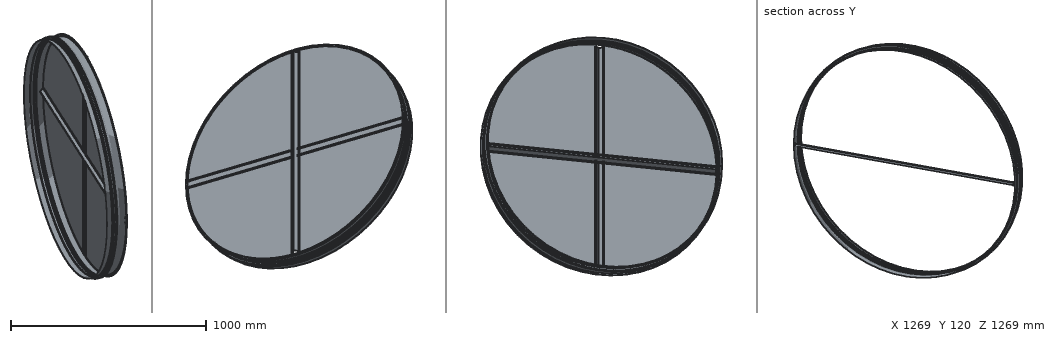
import cadquery as cq
import math

outer_diameter = 1269.0
overall_depth = 120.0
rear_y = overall_depth / 2
front_y = -overall_depth / 2

shell_sheet = 0.6
shell_radius = 1249.0 / 2
shell_bore_radius = shell_radius - shell_sheet
inner_bend_radius = 3.0
outer_bend_radius = inner_bend_radius + shell_sheet
groove_depth = inner_bend_radius + outer_bend_radius
groove_radius = shell_radius - groove_depth
groove_rear_y = 10.0
groove_front_y = -34.0
flange_radius = outer_diameter / 2
flange_rear_y = 46.0
flange_thickness = 1.9

gasket_radius = 1242.0 / 2
gasket_rear_radius = 1240.0 / 2
gasket_rear_y = -3.0
gasket_step_y = -6.0
gasket_front_y = groove_front_y + groove_depth
lip_radius = 1265.0 / 2
lip_thickness = 1.0
lip_rear_ys = (-9.0, -24.0)

plate_sheet = 1.9
plate_front_y = flange_rear_y - plate_sheet

v_half_width = 17.1
stiffener_half_width = 24.7
stiffener_sheet = 1.0
v_depth = rear_y - plate_front_y
vertical_half_length = 612.0
horizontal_half_length = 617.0


def revolve_about_y(outline):
    """Revolve a closed outline of (radius, y) points about the Y axis."""
    return cq.Workplane("XY").polyline(outline).close().revolve(360, (0, 0, 0), (0, 1, 0))


def make_drum(wall_radius, wall_bend, groove_bend):
    """Solid drum whose round groove sides are two quarter bends, convex then concave."""
    mid_radius = wall_radius - wall_bend
    bottom_radius = mid_radius - groove_bend
    front_mid_y = groove_front_y + wall_bend
    rear_mid_y = groove_rear_y - wall_bend
    outline = (
        cq.Workplane("XY")
        .moveTo(0, front_y)
        .lineTo(wall_radius, front_y)
        .lineTo(wall_radius, groove_front_y)
        .radiusArc((mid_radius, front_mid_y), -wall_bend)
        .radiusArc((bottom_radius, front_mid_y + groove_bend), groove_bend)
        .lineTo(bottom_radius, rear_mid_y - groove_bend)
        .radiusArc((mid_radius, rear_mid_y), groove_bend)
        .radiusArc((wall_radius, groove_rear_y), -wall_bend)
        .lineTo(wall_radius, flange_rear_y)
        .lineTo(0, flange_rear_y)
        .close()
    )
    return outline.revolve(360, (0, 0, 0), (0, 1, 0))


def make_shell():
    """Thin ring with a gasket groove and an outward flange at the rear."""
    flange = cq.Workplane("XZ", origin=(0, flange_rear_y, 0)).circle(flange_radius).extrude(flange_thickness)
    outside = make_drum(shell_radius, outer_bend_radius, inner_bend_radius)
    inside = make_drum(shell_bore_radius, inner_bend_radius, outer_bend_radius)
    return outside.union(flange).cut(inside)


def make_gasket():
    """Band in the shell groove with two thin sealing lips."""
    band = [
        (groove_radius, gasket_front_y),
        (gasket_radius, gasket_front_y),
        (gasket_radius, gasket_step_y),
        (gasket_rear_radius, gasket_rear_y),
        (groove_radius, gasket_rear_y),
    ]
    gasket = revolve_about_y(band)
    for lip_rear_y in lip_rear_ys:
        lip_front_y = lip_rear_y - lip_thickness
        lip = [
            (groove_radius, lip_front_y),
            (lip_radius, lip_front_y),
            (lip_radius, lip_rear_y),
            (groove_radius, lip_rear_y),
        ]
        gasket = gasket.union(revolve_about_y(lip))
    return gasket


def make_plate(side):
    """Disc segment filling the shell bore on one X side (-1 or 1) of the vertical V."""
    chord_half = math.sqrt(shell_bore_radius**2 - v_half_width**2)
    return (
        cq.Workplane("XZ", origin=(0, flange_rear_y, 0))
        .moveTo(side * v_half_width, -chord_half)
        .threePointArc((side * shell_bore_radius, 0), (side * v_half_width, chord_half))
        .close()
        .extrude(plate_sheet)
    )


def make_stiffener(half_length):
    """Bent strip along Z: two flanges in front of y = 0 and a V whose apex points to +Y."""
    slope_length = math.hypot(v_half_width, v_depth)
    inner_half_width = v_half_width - stiffener_sheet * (slope_length - v_half_width) / v_depth
    inner_apex_y = v_depth - stiffener_sheet * slope_length / v_half_width
    outline = [
        (-stiffener_half_width, 0),
        (-v_half_width, 0),
        (0, v_depth),
        (v_half_width, 0),
        (stiffener_half_width, 0),
        (stiffener_half_width, -stiffener_sheet),
        (inner_half_width, -stiffener_sheet),
        (0, inner_apex_y),
        (-inner_half_width, -stiffener_sheet),
        (-stiffener_half_width, -stiffener_sheet),
    ]
    return cq.Workplane("XY").polyline(outline).close().extrude(half_length, both=True)


def make_vertical_stiffener():
    """Stiffener along Z against the plates, its V standing out through the slot to the rear."""
    return make_stiffener(vertical_half_length).translate((0, plate_front_y, 0))


def make_horizontal_stiffener():
    """Stiffener along X lying across the vertical one, its V standing out to the front."""
    seat_y = plate_front_y - stiffener_sheet
    return (
        make_stiffener(horizontal_half_length)
        .rotate((0, 0, 0), (0, 0, 1), 180)
        .rotate((0, 0, 0), (0, 1, 0), 90)
        .translate((0, seat_y - stiffener_sheet, 0))
    )


shell = make_shell()
gasket = make_gasket()
plates = [make_plate(side).val() for side in (-1, 1)]
vertical_stiffener = make_vertical_stiffener()
horizontal_stiffener = make_horizontal_stiffener()

result = cq.Compound.makeCompound(
    [shell.val(), gasket.val(), *plates, vertical_stiffener.val(), horizontal_stiffener.val()]
)